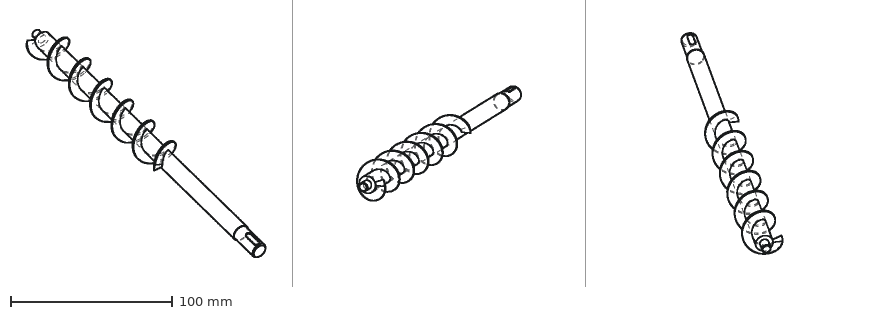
import cadquery as cq
import math

total_length = 245.5
pilot_diameter = 5.6
pilot_length = 6.9
pilot_chamfer = 0.5
shaft_diameter = 11.0
flight_diameter = 23.3
flight_pitch = 23.3
flight_turns = 6
flight_sector_angle = 22.0
journal_diameter = 10.0
journal_length = 20.6
journal_chamfer = 0.7
keyway_length = 12.3
keyway_width = 3.7
keyway_depth = 1.0
keyway_end_gap = 1.5

screw_length = flight_pitch * flight_turns
journal_start = total_length - journal_length
keyway_center = total_length - keyway_end_gap - keyway_length / 2
keyway_floor = journal_diameter / 2 - keyway_depth


def cylinder(start, end, diameter):
    """Cylinder around the X axis between two X positions."""
    return cq.Workplane("YZ", origin=(start, 0, 0)).circle(diameter / 2).extrude(end - start)


def flight_section_point(radius, degrees):
    """Point in the YZ plane, with the angle measured from +Y towards +Z."""
    angle = math.radians(degrees)
    return (radius * math.cos(angle), radius * math.sin(angle))


def make_flight():
    """Helical flight: a ring sector twisted along X, seated on the shaft."""
    root_radius = shaft_diameter / 2
    tip_radius = flight_diameter / 2
    end_angle = 180.0
    start_angle = end_angle - flight_sector_angle
    middle_angle = (start_angle + end_angle) / 2
    return (
        cq.Workplane("YZ", origin=(pilot_length, 0, 0))
        .moveTo(*flight_section_point(root_radius, start_angle))
        .lineTo(*flight_section_point(tip_radius, start_angle))
        .threePointArc(
            flight_section_point(tip_radius, middle_angle),
            flight_section_point(tip_radius, end_angle),
        )
        .lineTo(*flight_section_point(root_radius, end_angle))
        .threePointArc(
            flight_section_point(root_radius, middle_angle),
            flight_section_point(root_radius, start_angle),
        )
        .close()
        .twistExtrude(screw_length, 360.0 * flight_turns)
    )


def make_keyway():
    """Round-ended keyway cutter that opens towards +Z."""
    return (
        cq.Workplane("XY", origin=(keyway_center, 0, keyway_floor))
        .slot2D(keyway_length, keyway_width)
        .extrude(journal_diameter)
    )


def make_shaft():
    """Shaft with a pilot at the left end and a keyed journal at the right end."""
    pilot = cylinder(0, pilot_length, pilot_diameter)
    pilot = pilot.faces("<X").chamfer(pilot_chamfer)
    body = cylinder(pilot_length, journal_start, shaft_diameter)
    journal = cylinder(journal_start, total_length, journal_diameter)
    journal = journal.faces(">X").chamfer(journal_chamfer)
    return pilot.union(body).union(journal).cut(make_keyway())


flight = make_flight()
shaft = make_shaft()

result = cq.Compound.makeCompound([flight.val(), shaft.solids().val()])